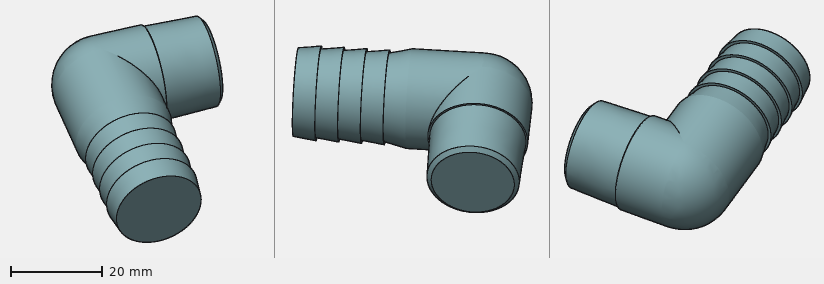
import cadquery as cq

body_diameter = 22.0
body_radius = body_diameter / 2
total_length_x = 52
total_length_y = 36.0

hose_end = total_length_x - body_radius
hose_shoulder = 15.95
barb_count = 4
barb_pitch = (hose_end - hose_shoulder) / (barb_count + 1)
barb_crest_radius = 10.45
barb_root_radius = 9.8

spigot_end = total_length_y - body_radius
spigot_shoulder = 11.5
taper_base_radius = 10.6
taper_tip_radius = 10.2
tip_chamfer_length = 0.9
tip_chamfer_depth = 1.05


def make_hose_leg():
    """Solid of revolution about X; the neck and each barb narrow to the root."""
    neck_end = hose_shoulder + barb_pitch
    profile = (
        cq.Workplane("XY")
        .lineTo(0, body_radius)
        .lineTo(hose_shoulder, body_radius)
        .lineTo(neck_end, barb_root_radius)
    )
    for index in range(barb_count):
        barb_start = neck_end + index * barb_pitch
        profile = profile.lineTo(barb_start, barb_crest_radius)
        profile = profile.lineTo(barb_start + barb_pitch, barb_root_radius)
    return profile.lineTo(hose_end, 0).close().revolve(360, (0, 0, 0), (1, 0, 0))


def make_spigot_leg():
    """Solid of revolution about Y with a tapered, chamfered plug."""
    return (
        cq.Workplane("XY")
        .lineTo(body_radius, 0)
        .lineTo(body_radius, spigot_shoulder)
        .lineTo(taper_base_radius, spigot_shoulder)
        .lineTo(taper_tip_radius, spigot_end - tip_chamfer_length)
        .lineTo(taper_tip_radius - tip_chamfer_depth, spigot_end)
        .lineTo(0, spigot_end)
        .close()
        .revolve(360, (0, 0, 0), (0, 1, 0))
    )


corner_ball = cq.Workplane("XY").sphere(body_radius)

result = make_hose_leg().union(make_spigot_leg()).union(corner_ball)